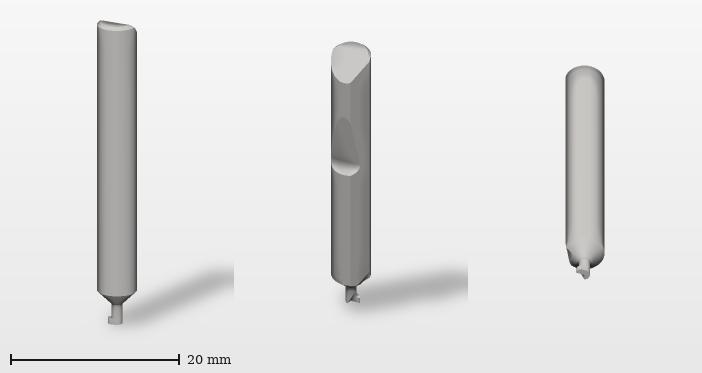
import cadquery as cq
import math

shank_diameter = 4.76
overall_length = 38.1
neck_diameter = 1.3

shank_radius = shank_diameter / 2
neck_radius = neck_diameter / 2
through = 4 * shank_diameter

cone_bottom = 2.54
cone_top = cone_bottom + shank_radius - neck_radius

end_chamfer = 0.38
end_bevel_front = -0.52

flat_distance = 1.98
flat_azimuth = 37.0

notch_bottom = 21.1
notch_top = 29.95
notch_slope = 9.0
notch_radius = 1.0

tooth_reach = 1.11
tooth_height = 0.78
tooth_heel = 0.71
tooth_depth = 0.68
tooth_relief_bulge = 0.10
tip_clearance = 2.0

pocket_tilt = 24.5
pocket_azimuth = 17.0
pocket_axis_height = 0.15


def make_body():
    """Turned blank: neck, cone and shank with a chamfered end."""
    return (
        cq.Workplane("XZ")
        .moveTo(0, 0)
        .lineTo(-neck_radius, 0)
        .lineTo(-neck_radius, cone_bottom)
        .lineTo(-shank_radius, cone_top)
        .lineTo(-shank_radius, overall_length - end_chamfer)
        .lineTo(end_chamfer - shank_radius, overall_length)
        .lineTo(0, overall_length)
        .close()
        .revolve(360, (0, 0, 0), (0, 1, 0))
    )


def make_tooth():
    """Tooth with its rake face on Y = 0, a curved relief and a flat back just proud of the neck."""
    corner = (-tooth_reach, 0)
    heel = (-tooth_heel, -tooth_depth)
    chord_x = heel[0] - corner[0]
    chord_y = heel[1] - corner[1]
    chord = math.hypot(chord_x, chord_y)
    relief_middle = (
        (corner[0] + heel[0]) / 2 + tooth_relief_bulge * chord_y / chord,
        (corner[1] + heel[1]) / 2 - tooth_relief_bulge * chord_x / chord,
    )
    return (
        cq.Workplane("XY")
        .moveTo(0, 0)
        .lineTo(*corner)
        .threePointArc(relief_middle, heel)
        .lineTo(0, -tooth_depth)
        .close()
        .extrude(tooth_height)
    )


def half_space(point, normal):
    """Large block lying on the plane through the point, on the side the normal points to."""
    return cq.Workplane(cq.Plane(origin=point, normal=normal)).rect(through, through).extrude(through)


def make_end_bevel():
    """Wedge above the 45 degree bevel on the +Y side of the shank end."""
    return half_space((0, end_bevel_front, overall_length), (0, 1, 1))


def make_locating_flat():
    """Block outside the flat that runs the whole length of the shank."""
    return (
        cq.Workplane("XY")
        .rect(through, through)
        .extrude(overall_length)
        .translate((-flat_distance - through / 2, 0, 0))
        .rotate((0, 0, 0), (0, 0, 1), -flat_azimuth)
    )


def make_notch():
    """Clamping notch: square floor below, rounded corner, then a slow slope out to the surface."""
    slope = math.tan(math.radians(notch_slope))
    outside = shank_diameter
    floor_depth = shank_radius - (notch_top - notch_bottom) * slope
    slope_exit = notch_bottom + (outside - floor_depth) / slope
    return (
        cq.Workplane("YZ")
        .moveTo(outside, notch_bottom)
        .lineTo(floor_depth, notch_bottom)
        .lineTo(outside, slope_exit)
        .close()
        .extrude(through / 2, both=True)
        .edges(cq.selectors.NearestToPointSelector((0, floor_depth, notch_bottom)))
        .fillet(notch_radius)
    )


def make_chip_pocket():
    """Space in front of the rake face, outside the slanted pocket floor."""
    azimuth = math.radians(pocket_azimuth)
    tilt = math.radians(pocket_tilt)
    normal = (
        -math.cos(tilt) * math.cos(azimuth),
        math.cos(tilt) * math.sin(azimuth),
        -math.sin(tilt),
    )
    in_front_of_rake = half_space((0, 0, 0), (0, 1, 0))
    return half_space((0, 0, pocket_axis_height), normal).intersect(in_front_of_rake)


def make_tip_clearance():
    """Block below the bottom face, which rises towards +X and -Y from the cutting corner."""
    rise = math.tan(math.radians(tip_clearance))
    return half_space((-tooth_reach, 0, 0), (rise, -rise, -1))


result = (
    make_body()
    .cut(make_end_bevel())
    .cut(make_locating_flat())
    .cut(make_notch())
    .union(make_tooth())
    .cut(make_chip_pocket())
    .cut(make_tip_clearance())
)